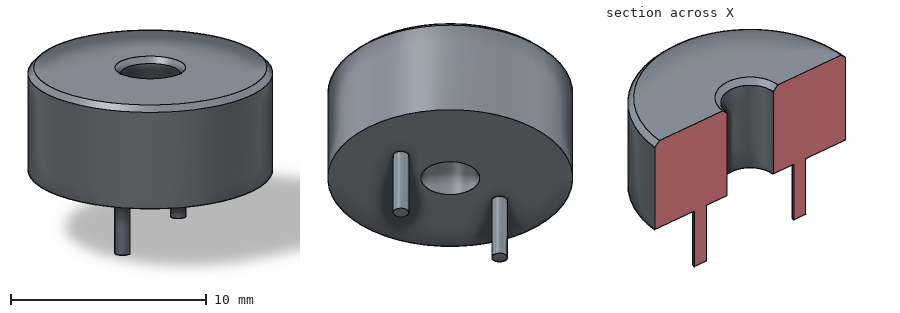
import cadquery as cq

body_diameter = 12.5
body_height = 5.5
edge_chamfer = 0.3

hole_diameter = 3.0

pin_diameter = 0.8
pin_length = 3.5
pin_spacing = 6.5


def make_body():
    """Disc with a central through hole, both top edges chamfered."""
    return (
        cq.Workplane("XY")
        .circle(body_diameter / 2)
        .circle(hole_diameter / 2)
        .extrude(body_height)
        .faces(">Z")
        .edges()
        .chamfer(edge_chamfer)
    )


def make_pins():
    """Pair of round pins hanging from the underside of the body."""
    return (
        cq.Workplane("XY")
        .pushPoints([(0, -pin_spacing / 2), (0, pin_spacing / 2)])
        .circle(pin_diameter / 2)
        .extrude(-pin_length)
    )


result = make_body().union(make_pins())